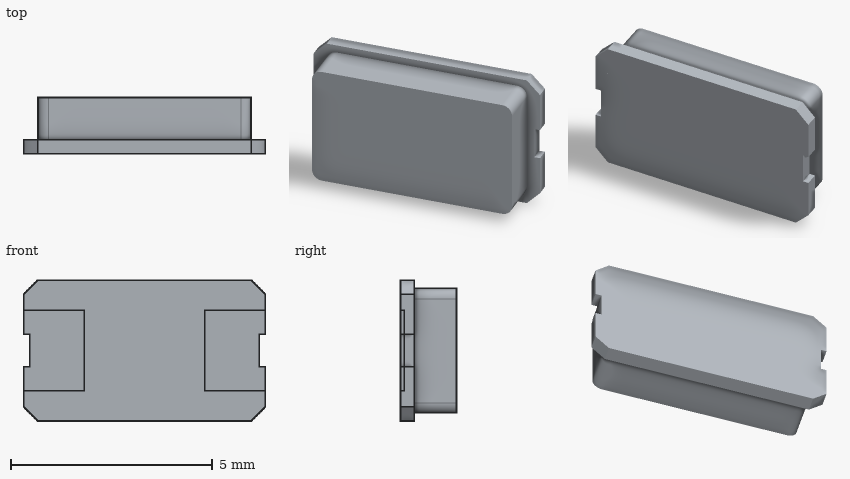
import cadquery as cq


length = 6.0
height = 3.5
depth = 1.4

base_thickness = 0.35
corner_chamfer = 0.35

cap_length = length - 2 * corner_chamfer
cap_height = 3.1
cap_corner_radius = 0.26

pad_length = 1.5
pad_height = 2.0
pad_thickness = 0.1

notch_depth = 0.15
notch_height = 0.8

front_y = -depth / 2
base_back_y = front_y + base_thickness
end_sides = (-1, 1)


def block(size_x, size_z, start_y, thickness):
    """Box centred on X = Z = 0 that runs from start_y toward +Y."""
    return (
        cq.Workplane("XY")
        .box(size_x, thickness, size_z, centered=(True, False, True))
        .translate((0, start_y, 0))
    )


def end_notch(side):
    """Cutter for the notch at one end; half of it lies outside the base."""
    notch = block(2 * notch_depth, notch_height, front_y, base_thickness)
    return notch.translate((side * length / 2, 0, 0))


def pad_blank(side):
    """Full rectangle of one pad, before its notch is cut."""
    pad_center_x = side * (length - pad_length) / 2
    return block(pad_length, pad_height, front_y, pad_thickness).translate((pad_center_x, 0, 0))


def make_housing():
    """Base plate and cap in one piece, with recesses for the pads."""
    base = block(length, height, front_y, base_thickness).edges("|Y").chamfer(corner_chamfer)
    cap = block(cap_length, cap_height, base_back_y, depth - base_thickness)
    cap = cap.edges("|Y").fillet(cap_corner_radius)
    body = base.union(cap)
    for side in end_sides:
        body = body.cut(end_notch(side)).cut(pad_blank(side))
    return body


def make_pad(side):
    """Notched solder pad that fills its recess in the base."""
    return pad_blank(side).cut(end_notch(side))


housing = make_housing()
pads = [make_pad(side) for side in end_sides]

result = cq.Compound.makeCompound([housing.solids().val(), *[pad.solids().val() for pad in pads]])